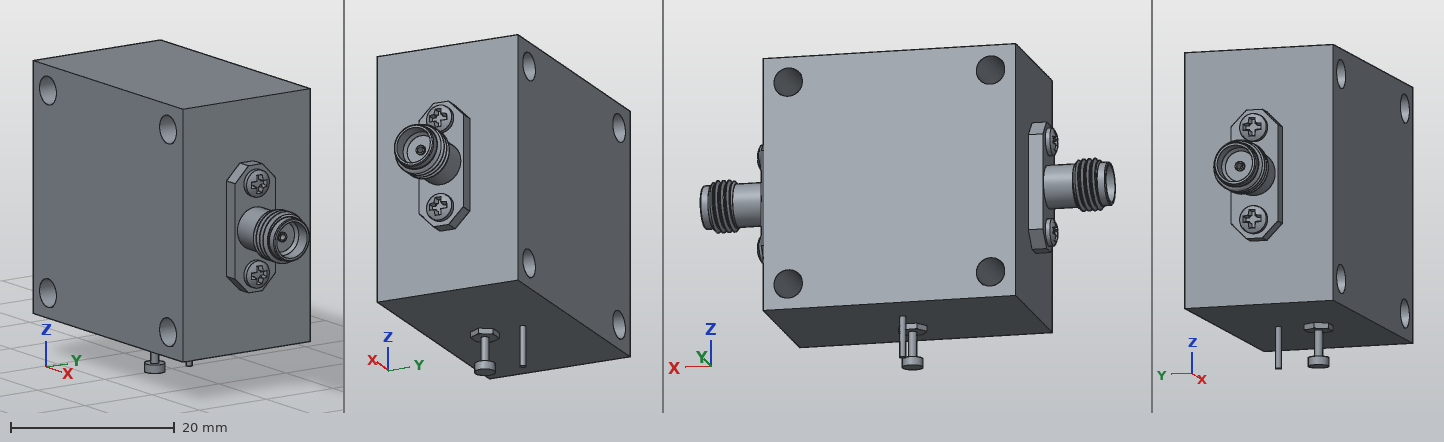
import cadquery as cq
import math

total_length = 50.9
block_width = 31.7
block_height = 31.7
block_depth = 19.05
mount_hole_diameter = 3.55
mount_hole_inset = 3.15

flange_thickness = 1.85
flange_width = 6.0
flange_length = 15.95
flange_chamfer = 2.0

connector_length = (total_length - block_width) / 2
barrel_diameter = 5.35
tip_diameter = 5.1
bore_diameter = 4.55
bore_depth = 1.8
bore_floor_diameter = 3.8
bore_taper_depth = 0.4
contact_diameter = 1.15
contact_hole_diameter = 0.75
contact_height = 0.25
contact_hole_depth = 1.55

thread_major_diameter = 6.4
thread_root_diameter = 5.5
thread_length = 3.1
thread_tip_gap = 1.0
thread_pitch = 0.7
thread_base_width = 0.65
thread_crest_width = 0.1
thread_crest_clearance = 0.05
thread_first_crest = 1.4

screw_offset = 5.7
screw_diameter = 3.4
screw_rim_height = 0.55
screw_height = 1.1
recess_length = 2.5
recess_arm_width = 0.95
recess_center_diameter = 1.1
recess_depth = 0.75
recess_taper = 20

terminal_length = 5.15
terminal_offset = 2.55
nut_across_flats = 3.1
nut_height = 0.7
nut_face_diameter = 3.4
stem_diameter = 1.0
head_diameter = 2.55
head_height = 1.05
ground_pin_diameter = 0.75
ground_pin_offset = 2.6


def revolved(points):
    """Solid of revolution about Z from (radius, height) points."""
    return cq.Workplane("XZ").polyline(points).close().revolve(360, (0, 0, 0), (0, 1, 0))


def make_block():
    hole_pitch_x = block_width - 2 * mount_hole_inset
    hole_pitch_z = block_height - 2 * mount_hole_inset
    return (
        cq.Workplane("XY")
        .box(block_width, block_depth, block_height)
        .faces("<Y")
        .workplane()
        .rect(hole_pitch_x, hole_pitch_z, forConstruction=True)
        .vertices()
        .hole(mount_hole_diameter)
    )


def make_thread():
    """Thread along Z, with its chamfered tip end at the top of the connector."""
    root_radius = thread_root_diameter / 2
    major_radius = thread_major_diameter / 2
    thread_bottom = connector_length - thread_tip_gap - thread_length

    envelope_radius = major_radius + thread_crest_clearance
    envelope = (
        cq.Workplane("XY")
        .workplane(offset=thread_bottom)
        .circle(envelope_radius)
        .extrude(thread_length)
        .faces("<Z or >Z")
        .chamfer(envelope_radius - root_radius)
    )

    turns = math.ceil(thread_length / thread_pitch) + 1
    helix_start = connector_length - thread_first_crest - (turns - 1) * thread_pitch
    base_radius = barrel_diameter / 2
    helix = cq.Wire.makeHelix(thread_pitch, turns * thread_pitch, base_radius)
    ridge = (
        cq.Workplane("XZ")
        .polyline([
            (base_radius, -thread_base_width / 2),
            (major_radius, -thread_crest_width / 2),
            (major_radius, thread_crest_width / 2),
            (base_radius, thread_base_width / 2),
        ])
        .close()
        .sweep(cq.Workplane(obj=helix), isFrenet=True)
        .translate((0, 0, helix_start))
    )
    core = cq.Workplane("XY").workplane(offset=thread_bottom).circle(root_radius).extrude(thread_length)
    return core.union(ridge.intersect(envelope))


def make_screw():
    """Domed screw head standing on the XY plane, with a tapered cross recess."""
    rim_radius = screw_diameter / 2
    dome_rise = screw_height - screw_rim_height
    dome_radius = (rim_radius ** 2 + dome_rise ** 2) / (2 * dome_rise)
    dome = cq.Workplane("XY").sphere(dome_radius).translate((0, 0, screw_height - dome_radius))
    head = cq.Workplane("XY").circle(rim_radius).extrude(screw_height).intersect(dome)

    top = cq.Workplane("XY").workplane(offset=screw_height)
    recess = top.circle(recess_center_diameter / 2).extrude(-recess_depth)
    for arm_size in ((recess_length, recess_arm_width), (recess_arm_width, recess_length)):
        recess = recess.union(top.rect(*arm_size).extrude(-recess_depth, taper=recess_taper))
    return head.cut(recess)


def make_connector():
    """Connector along Z, with the flange seated on the XY plane and its long side along X."""
    connector = (
        cq.Workplane("XY")
        .rect(flange_length, flange_width)
        .extrude(flange_thickness)
        .edges("|Z")
        .chamfer(flange_chamfer)
    )
    barrel = (
        cq.Workplane("XY")
        .circle(barrel_diameter / 2)
        .extrude(connector_length)
        .faces(">Z")
        .chamfer((barrel_diameter - tip_diameter) / 2)
    )
    connector = connector.union(barrel).union(make_thread())

    taper_start = connector_length - bore_depth
    bore_floor = taper_start - bore_taper_depth
    bore = revolved([
        (0, bore_floor),
        (bore_floor_diameter / 2, bore_floor),
        (bore_diameter / 2, taper_start),
        (bore_diameter / 2, connector_length),
        (0, connector_length),
    ])
    contact = (
        cq.Workplane("XY")
        .workplane(offset=bore_floor)
        .circle(contact_diameter / 2)
        .extrude(contact_height)
    )
    connector = connector.cut(bore).union(contact)
    connector = connector.faces(cq.NearestToPointSelector((0, 0, bore_floor + contact_height)))
    connector = connector.workplane(origin=(0, 0, 0)).hole(contact_hole_diameter, contact_hole_depth)

    screw = make_screw()
    for side in (-1, 1):
        connector = connector.union(screw.translate((side * screw_offset, 0, flange_thickness)))
    return connector


def make_terminal():
    """Turret terminal along Z, with its hexagonal nut seated on the XY plane."""
    corner_radius = nut_across_flats / math.sqrt(3)
    face_radius = nut_face_diameter / 2
    nut = cq.Workplane("XY").polygon(6, 2 * corner_radius).extrude(nut_height)
    nut_envelope = revolved([
        (0, 0),
        (corner_radius, 0),
        (corner_radius, nut_height - corner_radius + face_radius),
        (face_radius, nut_height),
        (0, nut_height),
    ])
    stem = cq.Workplane("XY").circle(stem_diameter / 2).extrude(terminal_length)
    head = (
        cq.Workplane("XY")
        .workplane(offset=terminal_length - head_height)
        .circle(head_diameter / 2)
        .extrude(head_height)
    )
    return nut.intersect(nut_envelope).union(stem).union(head)


right_connector = make_connector().rotate((0, 0, 0), (0, 1, 0), 90).translate((block_width / 2, 0, 0))
left_connector = right_connector.rotate((0, 0, 0), (0, 0, 1), 180)

terminal = make_terminal().rotate((0, 0, 0), (1, 0, 0), 180)
terminal = terminal.translate((0, -terminal_offset, -block_height / 2))

ground_pin = (
    cq.Workplane("XY")
    .circle(ground_pin_diameter / 2)
    .extrude(-terminal_length)
    .translate((0, ground_pin_offset, -block_height / 2))
)

result = make_block().union(left_connector).union(right_connector).union(terminal).union(ground_pin)